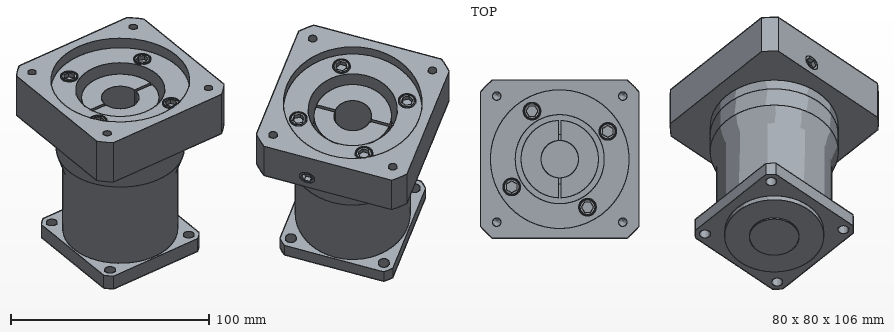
import cadquery as cq
import math

TOTAL_HEIGHT = 106.0
PLATE_THICKNESS = 24.9
NECK_HEIGHT = 6.5
PLATE_BOTTOM = TOTAL_HEIGHT - PLATE_THICKNESS
JOINT_Z = PLATE_BOTTOM - NECK_HEIGHT
TAPER_TOP = 62.8
TAPER_BOTTOM = 52.8
FLANGE_TOP = 12.1
FLANGE_BOTTOM = 3.9
PILOT_BOTTOM = 1.0

PLATE_SIDE = 80.0
PLATE_CORNER_RADIUS = 52.5
NECK_RADIUS = 32.3
RECESS_RADIUS = 35.0
RECESS_DEPTH = 6.0
RECESS_FLOOR = TOTAL_HEIGHT - RECESS_DEPTH
BORE_RADIUS = 22.5
MOTOR_HOLE_RADIUS = 2.1
MOTOR_HOLE_OFFSET = 31.8
MOTOR_HOLE_DEPTH = 10.0
DRILL_TIP_ANGLE = 118.0

SCREW_CIRCLE_RADIUS = 28.0
SCREW_COUNT = 4
SCREW_START_ANGLE = 30.0
COUNTERBORE_RADIUS = 4.5
SCREW_HEAD_RADIUS = 4.2
SCREW_HEAD_HEIGHT = 5.0
SCREW_HEAD_CHAMFER = 0.5
HEX_ACROSS_FLATS = 5.2
HEX_DEPTH = 2.5
HEX_DIAMETER = HEX_ACROSS_FLATS / math.cos(math.radians(30))

PLUG_Y = 11.0
PLUG_Z = 89.0
PLUG_RADIUS = 4.0
PLUG_SETBACK = 0.1

BODY_RADIUS = 29.0
FLANGE_SIDE = 60.0
FLANGE_CORNER_RADIUS = 40.0
FLANGE_HOLE_RADIUS = 2.8
FLANGE_HOLE_OFFSET = 24.7
PILOT_RADIUS = 25.0
SHAFT_RADIUS = 12.5

HUB_RADIUS = 19.5
HUB_TOP = 95.0
SHAFT_BORE_RADIUS = 9.4
SHAFT_BORE_DEPTH = 30.0
SLOT_WIDTH = 1.4
CLAMP_SLOT_DEPTH = HUB_TOP - JOINT_Z
SLEEVE_SLOT_DEPTH = 15.0


def disc(radius, bottom, top):
    """Upright cylinder on the main axis, seam facing -X."""
    return (
        cq.Workplane("XZ")
        .moveTo(0, bottom)
        .lineTo(-radius, bottom)
        .lineTo(-radius, top)
        .lineTo(0, top)
        .close()
        .revolve(360, (0, 0, 0), (0, 1, 0))
    )


def rounded_square(side, corner_radius, bottom, top):
    """Square plate whose corners are turned to a round about the main axis."""
    square = cq.Workplane("XY").workplane(offset=bottom).rect(side, side).extrude(top - bottom)
    return square.intersect(disc(corner_radius, bottom, top))


def corner_points(offset):
    return [(sx * offset, sy * offset) for sx in (-1, 1) for sy in (-1, 1)]


def motor_holes():
    """Blind drilled holes with a conical tip in the plate corners."""
    tip_depth = MOTOR_HOLE_RADIUS / math.tan(math.radians(DRILL_TIP_ANGLE / 2))
    drill = (
        cq.Workplane("XZ")
        .lineTo(MOTOR_HOLE_RADIUS, 0)
        .lineTo(MOTOR_HOLE_RADIUS, -MOTOR_HOLE_DEPTH)
        .lineTo(0, -MOTOR_HOLE_DEPTH - tip_depth)
        .close()
        .revolve(360, (0, 0, 0), (0, 1, 0))
    )
    holes = cq.Workplane("XY")
    for x, y in corner_points(MOTOR_HOLE_OFFSET):
        holes = holes.add(drill.translate((x, y, TOTAL_HEIGHT)))
    return holes.combine()


def screw_cut(angle):
    """Clearance around one chamfered cap screw head in its counterbore, and the hex socket."""
    clearance = (
        cq.Workplane("XZ")
        .moveTo(COUNTERBORE_RADIUS, 0)
        .lineTo(COUNTERBORE_RADIUS, -SCREW_HEAD_HEIGHT)
        .lineTo(SCREW_HEAD_RADIUS, -SCREW_HEAD_HEIGHT)
        .lineTo(SCREW_HEAD_RADIUS, -SCREW_HEAD_CHAMFER)
        .lineTo(SCREW_HEAD_RADIUS - SCREW_HEAD_CHAMFER, 0)
        .close()
        .revolve(360, (0, 0, 0), (0, 1, 0))
    )
    socket = cq.Workplane("XY").polygon(6, HEX_DIAMETER).extrude(-HEX_DEPTH)
    return (
        clearance.add(socket)
        .combine()
        .translate((SCREW_CIRCLE_RADIUS, 0, RECESS_FLOOR))
        .rotate((0, 0, 0), (0, 0, 1), angle)
    )


def plug_cut():
    """Slightly sunk round face of the access plug, and its hex socket."""
    side = cq.Workplane("YZ", origin=(-PLATE_SIDE / 2, PLUG_Y, PLUG_Z))
    face = side.circle(PLUG_RADIUS).extrude(PLUG_SETBACK)
    socket = side.polygon(6, HEX_DIAMETER).extrude(HEX_DEPTH)
    return face.union(socket)


def make_adapter():
    adapter = (
        rounded_square(PLATE_SIDE, PLATE_CORNER_RADIUS, PLATE_BOTTOM, TOTAL_HEIGHT)
        .union(disc(NECK_RADIUS, JOINT_Z, PLATE_BOTTOM))
        .cut(disc(RECESS_RADIUS, RECESS_FLOOR, TOTAL_HEIGHT))
        .cut(disc(BORE_RADIUS, JOINT_Z, RECESS_FLOOR))
        .cut(motor_holes())
        .cut(plug_cut())
    )
    for i in range(SCREW_COUNT):
        adapter = adapter.cut(screw_cut(SCREW_START_ANGLE + i * 360 / SCREW_COUNT))
    return adapter


def make_housing():
    """Turned gearbox body, from the mounting flange up to the joint."""
    return (
        cq.Workplane("XZ")
        .moveTo(0, FLANGE_TOP)
        .lineTo(-BODY_RADIUS, FLANGE_TOP)
        .lineTo(-BODY_RADIUS, TAPER_BOTTOM)
        .lineTo(-NECK_RADIUS, TAPER_TOP)
        .lineTo(-NECK_RADIUS, JOINT_Z)
        .lineTo(0, JOINT_Z)
        .close()
        .revolve(360, (0, 0, 0), (0, 1, 0))
    )


def make_flange():
    """Square mounting flange with its through holes."""
    flange = rounded_square(FLANGE_SIDE, FLANGE_CORNER_RADIUS, FLANGE_BOTTOM, FLANGE_TOP)
    holes = (
        cq.Workplane("XY")
        .workplane(offset=FLANGE_BOTTOM)
        .pushPoints(corner_points(FLANGE_HOLE_OFFSET))
        .circle(FLANGE_HOLE_RADIUS)
        .extrude(FLANGE_TOP - FLANGE_BOTTOM)
    )
    return flange.cut(holes)


def hub_slot(length, depth):
    return (
        cq.Workplane("XY")
        .workplane(offset=HUB_TOP)
        .rect(SLOT_WIDTH, length)
        .extrude(-depth)
    )


def make_hub():
    """Clamping hub, split across Y; the slot is shallower through the inner sleeve."""
    return (
        disc(HUB_RADIUS, JOINT_Z, HUB_TOP)
        .cut(hub_slot(2 * SHAFT_RADIUS, SLEEVE_SLOT_DEPTH))
        .cut(hub_slot(2 * HUB_RADIUS, CLAMP_SLOT_DEPTH).cut(disc(SHAFT_RADIUS, JOINT_Z, HUB_TOP)))
    )


def make_gearbox():
    return (
        make_housing()
        .union(make_flange())
        .union(disc(PILOT_RADIUS, PILOT_BOTTOM, FLANGE_BOTTOM))
        .union(disc(SHAFT_RADIUS, 0, PILOT_BOTTOM))
        .union(make_hub())
        .cut(disc(SHAFT_BORE_RADIUS, HUB_TOP - SHAFT_BORE_DEPTH, HUB_TOP))
    )


adapter = make_adapter()
gearbox = make_gearbox()

result = cq.Compound.makeCompound([adapter.val(), gearbox.val()])